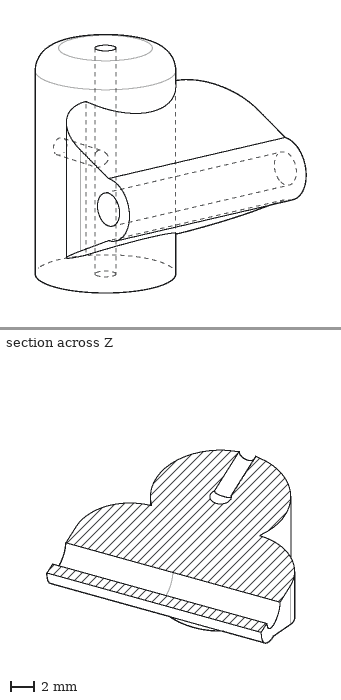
import cadquery as cq
import math

barrel_radius = 6.0
barrel_height = 20.0
top_fillet = 2.0
axial_hole_diameter = 1.8
side_hole_diameter = 1.5
mid_height = barrel_height / 2

wing_width = 19.8
wing_start_x = 3.3
wing_corner_radius = 5.0
wing_slope = math.radians(25)
pin_x = 12.0
knuckle_radius = 2.75
pin_hole_diameter = 2.9
pin_z = 10.1


def make_barrel():
    barrel = cq.Workplane("XY").circle(barrel_radius).extrude(barrel_height)
    return barrel.faces(">Z").edges().fillet(top_fillet)


def make_wing():
    """Wedge tapering to a round knuckle, with the two barrel-side corners rounded."""
    root_half_height = knuckle_radius + (pin_x - wing_start_x) * math.tan(wing_slope)
    wing = (
        cq.Workplane("XZ")
        .moveTo(wing_start_x, pin_z - root_half_height)
        .lineTo(pin_x, pin_z - knuckle_radius)
        .threePointArc((pin_x + knuckle_radius, pin_z), (pin_x, pin_z + knuckle_radius))
        .lineTo(wing_start_x, pin_z + root_half_height)
        .close()
        .extrude(wing_width / 2, both=True)
    )
    return wing.faces("<X").edges("|Z").fillet(wing_corner_radius)


def make_pin_hole():
    return (
        cq.Workplane("XZ")
        .center(pin_x, pin_z)
        .circle(pin_hole_diameter / 2)
        .extrude(wing_width / 2, both=True)
    )


def make_axial_hole():
    return cq.Workplane("XY").circle(axial_hole_diameter / 2).extrude(barrel_height)


def make_side_hole():
    """Radial hole from the -X side that ends at the barrel axis."""
    return (
        cq.Workplane("YZ", origin=(-barrel_radius, 0, mid_height))
        .circle(side_hole_diameter / 2)
        .extrude(barrel_radius)
    )


body = make_barrel().union(make_wing())
result = body.cut(make_pin_hole()).cut(make_axial_hole()).cut(make_side_hole())